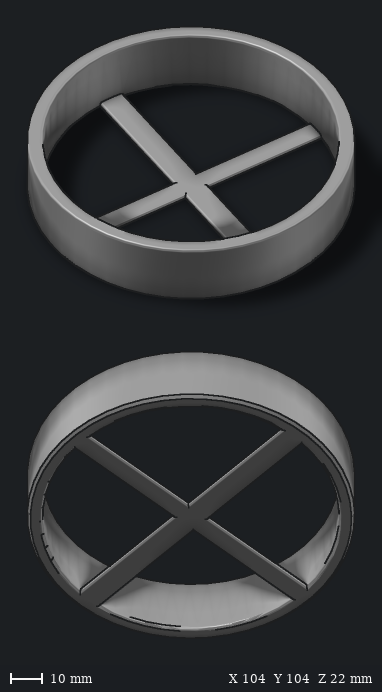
import cadquery as cq

outer_diameter = 104.0
inner_diameter = 94.0
height = 22.0
rim_round = 1.0
foot_chamfer = 1.0

bar_thickness = 2.0
x_bar_width = 8.6
y_bar_width = 7.0
bar_edge_round = 0.8
bar_length = (outer_diameter + inner_diameter) / 2


def make_ring():
    """Ring with a chamfered outer foot and its other three rims rounded."""
    ring = cq.Workplane("XY").circle(outer_diameter / 2).circle(inner_diameter / 2).extrude(height)
    outer_foot = cq.selectors.RadiusNthSelector(-1)
    inner_foot = cq.selectors.RadiusNthSelector(0)
    ring = ring.faces(">Z").edges().fillet(rim_round)
    ring = ring.faces("<Z").edges(inner_foot).fillet(rim_round)
    return ring.faces("<Z").edges(outer_foot).chamfer(foot_chamfer)


def make_bar(x_size, y_size, long_edges):
    """Flat bar centred on the ring axis, with all its long edges rounded."""
    bar = cq.Workplane("XY").box(x_size, y_size, bar_thickness, centered=(True, True, False))
    return bar.edges(long_edges).fillet(bar_edge_round)


x_bar = make_bar(bar_length, x_bar_width, "|X")
y_bar = make_bar(y_bar_width, bar_length, "|Y")
result = make_ring().union(x_bar).union(y_bar)